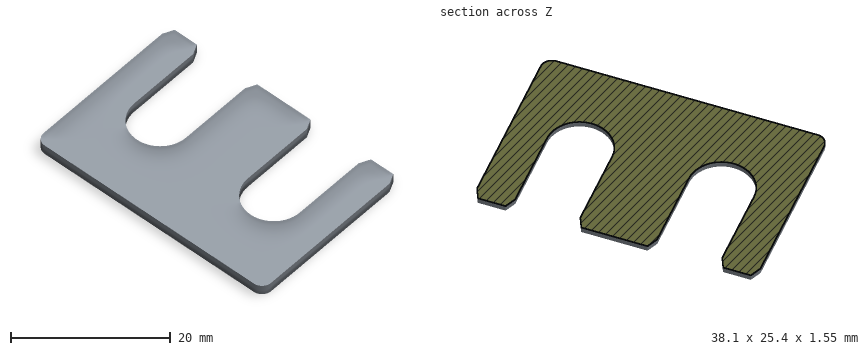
import cadquery as cq

length = 38.1
width = 25.4
thickness = 1.55
corner_radius = 1.52

slot_offset = length / 4
slot_radius = 4.35
slot_floor = 8.42

bevel_across = 0.72
bevel_along = 1.52

front_y = -width / 2
back_y = width / 2
slot_center_y = front_y + slot_floor + slot_radius
bevel_start_y = back_y - bevel_along


def make_plate():
    """Flat plate with rounded front corners and bevelled back corners."""
    half_length = length / 2
    plate = (
        cq.Workplane("XY")
        .moveTo(-half_length, front_y)
        .lineTo(half_length, front_y)
        .lineTo(half_length, bevel_start_y)
        .lineTo(half_length - bevel_across, back_y)
        .lineTo(-half_length + bevel_across, back_y)
        .lineTo(-half_length, bevel_start_y)
        .close()
        .extrude(thickness)
    )
    return plate.edges("|Z and <Y").fillet(corner_radius)


def make_slot(center_x):
    """Round-bottomed slot that flares out at the back edge."""
    left = center_x - slot_radius
    right = center_x + slot_radius
    return (
        cq.Workplane("XY")
        .moveTo(left, slot_center_y)
        .threePointArc((center_x, slot_center_y - slot_radius), (right, slot_center_y))
        .lineTo(right, bevel_start_y)
        .lineTo(right + bevel_across, back_y)
        .lineTo(left - bevel_across, back_y)
        .lineTo(left, bevel_start_y)
        .close()
        .extrude(thickness)
    )


result = make_plate()
for slot_x in (-slot_offset, slot_offset):
    result = result.cut(make_slot(slot_x))